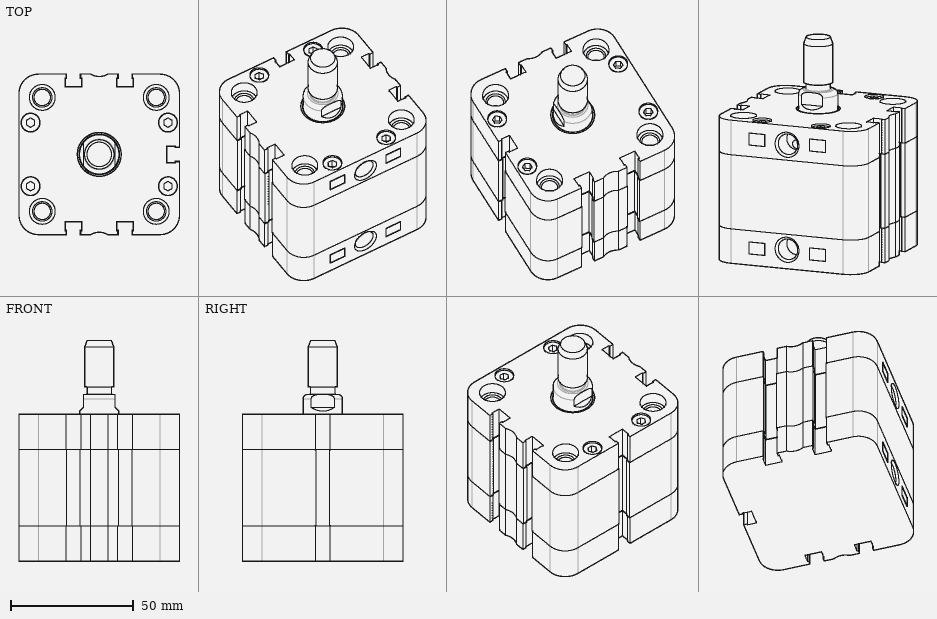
import cadquery as cq
import math

TOTAL_HEIGHT = 90.0
WIDTH = 65.5
CORNER_RADIUS = 8.0
CAP_HEIGHT = 14.5
BODY_HEIGHT = 60.0
BARREL_HEIGHT = BODY_HEIGHT - 2 * CAP_HEIGHT
FRONT_CAP_BASE = BODY_HEIGHT - CAP_HEIGHT
HALF_WIDTH = WIDTH / 2

SLOT_OFFSET = 10.5
SLOT_MOUTH = 5.5
SLOT_INNER_WIDTH = 6.5
SLOT_LIP = 1.9
SLOT_DEPTH = 5.1
CAP_SLOT_CLEARANCE = 0.3

SIDE_GROOVE_WIDTH = 6.9
SIDE_GROOVE_DEPTH = 1.0
SIDE_GROOVE_RADIUS = (SIDE_GROOVE_WIDTH**2 / 4 + SIDE_GROOVE_DEPTH**2) / (2 * SIDE_GROOVE_DEPTH)

MOUNT_OFFSET = 23.2
MOUNT_BORE_DIAMETER = 10.5
MOUNT_BORE_DEPTH = 5.0
MOUNT_THREAD_DIAMETER = 6.7
MOUNT_THREAD_LENGTH = 8.0
MOUNT_CHAMFER = 0.6

SCREW_X = 28.0
SCREW_Y = 13.0
SCREW_RECESS_DIAMETER = 7.7
SCREW_FLOOR_DIAMETER = 7.5
SCREW_RECESS_DEPTH = 0.7
HEX_ACROSS_FLATS = 3.3
HEX_DEPTH = 3.6

PORT_FROM_END = 8.0
PORT_DIAMETER = 8.55
PORT_MOUTH_DIAMETER = 10.5
PORT_DEPTH = 10.0
AIR_HOLE_DIAMETER = 3.5
AIR_HOLE_DROP = 2.0
AIR_HOLE_LENGTH = 4.5

LABEL_OFFSET = 13.4
LABEL_WIDTH = 7.0
LABEL_HEIGHT = 5.0
LABEL_FROM_END = 7.2
LABEL_DEPTH = 0.2

SEAT_DIAMETER = 18.0
SEAT_FLOOR_DIAMETER = 17.7
SEAT_DEPTH = 0.2
BORE_MOUTH_DIAMETER = 16.6
BORE_MOUTH_DEPTH = 0.3

ROD_DIAMETER = 16.0
ROD_ACROSS_FLATS = 13.0
ROD_SHOULDER_HEIGHT = 68.0
ROD_SHOULDER_FILLET = 1.8
FLAT_BASE_HEIGHT = 62.7
NECK_DIAMETER = 10.0
THREAD_DIAMETER = 12.0
THREAD_BASE_HEIGHT = 71.1
NECK_FILLET = 0.4
THREAD_TIP_CHAMFER = 2.7
CUT_MARGIN = 0.9


def t_slot(clearance, height):
    """T-slot prism in the -Y face at X = 0, widened by the clearance on every wall."""
    mouth = SLOT_MOUTH + 2 * clearance
    inner = SLOT_INNER_WIDTH + 2 * clearance
    depth = SLOT_DEPTH + clearance
    lip = SLOT_LIP - clearance
    opening = cq.Workplane("XY").box(mouth, 2 * depth, height, centered=(True, True, False))
    chamber = cq.Workplane("XY").box(inner, depth - lip, height, centered=(True, False, False))
    return opening.union(chamber.translate((0, lip, 0))).translate((0, -HALF_WIDTH, 0))


def profile_block(height, slot_clearance):
    """Rounded square block with the T-slots and side grooves along its full height."""
    block = cq.Workplane("XY").rect(WIDTH, WIDTH).extrude(height).edges("|Z").fillet(CORNER_RADIUS)
    slot = t_slot(slot_clearance, height)
    groove_center = HALF_WIDTH - SIDE_GROOVE_DEPTH + SIDE_GROOVE_RADIUS
    groove = cq.Workplane("XY").center(0, -groove_center).circle(SIDE_GROOVE_RADIUS).extrude(height)
    for side_angle in (0, 180):
        for x in (-SLOT_OFFSET, SLOT_OFFSET):
            block = block.cut(slot.translate((x, 0, 0)).rotate((0, 0, 0), (0, 0, 1), side_angle))
        block = block.cut(groove.rotate((0, 0, 0), (0, 0, 1), side_angle))
    return block.cut(slot.rotate((0, 0, 0), (0, 0, 1), 90))


def hole_from_left(diameter, start_x, y, z, length):
    """Cylinder along +X, starting at start_x."""
    start = cq.Vector(start_x, y, z)
    return cq.Workplane(cq.Solid.makeCylinder(diameter / 2, length, start, cq.Vector(1, 0, 0)))


def cut_port(cap, z):
    """Threaded air port with a chamfered mouth in the -X side."""
    chamfer = (PORT_MOUTH_DIAMETER - PORT_DIAMETER) / 2
    mouth = cq.Solid.makeCone(
        PORT_MOUTH_DIAMETER / 2, PORT_DIAMETER / 2, chamfer,
        cq.Vector(-HALF_WIDTH, 0, z), cq.Vector(1, 0, 0),
    )
    return cap.cut(hole_from_left(PORT_DIAMETER, -HALF_WIDTH, 0, z, PORT_DEPTH)).cut(cq.Workplane(mouth))


def cut_labels(cap, z):
    """Two shallow rectangular fields in the -X side."""
    for y in (-LABEL_OFFSET, LABEL_OFFSET):
        field = cq.Workplane("XY").box(2 * LABEL_DEPTH, LABEL_WIDTH, LABEL_HEIGHT)
        cap = cap.cut(field.translate((-HALF_WIDTH, y, z)))
    return cap


def level(height):
    """Horizontal workplane at the given height."""
    return cq.Workplane("XY").workplane(offset=height)


def upright_cone(bottom_diameter, top_diameter, height, base):
    """Cone frustum along +Z on the axis, standing at the base height."""
    cone = cq.Solid.makeCone(bottom_diameter / 2, top_diameter / 2, height, cq.Vector(0, 0, base))
    return cq.Workplane(cone)


def cut_mounting_threads(cap):
    """Counterbore, chamfered thread entry and blind thread hole at each corner."""
    spacing = 2 * MOUNT_OFFSET
    floor = BODY_HEIGHT - MOUNT_BORE_DEPTH
    bores = level(floor).rect(spacing, spacing, forConstruction=True).vertices()
    cap = cap.cut(bores.circle(MOUNT_BORE_DIAMETER / 2).extrude(MOUNT_BORE_DEPTH))
    thread = (
        level(floor).circle(MOUNT_THREAD_DIAMETER / 2).extrude(-MOUNT_THREAD_LENGTH)
        .union(upright_cone(
            MOUNT_THREAD_DIAMETER, MOUNT_THREAD_DIAMETER + 2 * MOUNT_CHAMFER,
            MOUNT_CHAMFER, floor - MOUNT_CHAMFER,
        ))
    )
    for x in (-MOUNT_OFFSET, MOUNT_OFFSET):
        for y in (-MOUNT_OFFSET, MOUNT_OFFSET):
            cap = cap.cut(thread.translate((x, y, 0)))
    return cap


def cut_screw_heads(cap):
    """Tapered round recess with a hexagon socket in its floor, at each of the four screws."""
    floor = BODY_HEIGHT - SCREW_RECESS_DEPTH
    hex_across_corners = HEX_ACROSS_FLATS / math.cos(math.pi / 6)
    recess = upright_cone(SCREW_FLOOR_DIAMETER, SCREW_RECESS_DIAMETER, SCREW_RECESS_DEPTH, floor)
    socket = level(floor).polygon(6, hex_across_corners).extrude(-HEX_DEPTH)
    head = recess.union(socket.rotate((0, 0, 0), (0, 0, 1), 90))
    for x in (-SCREW_X, SCREW_X):
        for y in (-SCREW_Y, SCREW_Y):
            cap = cap.cut(head.translate((x, y, 0)))
    return cap


def make_rear_cap():
    """Plain-ended cap below the barrel."""
    cap = profile_block(CAP_HEIGHT, CAP_SLOT_CLEARANCE)
    cap = cut_port(cap, PORT_FROM_END)
    return cut_labels(cap, LABEL_FROM_END)


def make_barrel():
    """Middle housing section between the two caps."""
    return profile_block(BARREL_HEIGHT, 0).translate((0, 0, CAP_HEIGHT))


def make_front_cap():
    """Cap above the barrel, with the rod bore, mounting threads and screws."""
    cap = profile_block(CAP_HEIGHT, CAP_SLOT_CLEARANCE).translate((0, 0, FRONT_CAP_BASE))
    port_height = BODY_HEIGHT - PORT_FROM_END
    cap = cut_port(cap, port_height)
    cap = cap.cut(hole_from_left(
        AIR_HOLE_DIAMETER, PORT_DEPTH - HALF_WIDTH, 0, port_height - AIR_HOLE_DROP, AIR_HOLE_LENGTH
    ))
    cap = cut_labels(cap, BODY_HEIGHT - LABEL_FROM_END)
    cap = cut_mounting_threads(cap)
    cap = cut_screw_heads(cap)
    cap = cap.cut(level(FRONT_CAP_BASE).circle(ROD_DIAMETER / 2).extrude(CAP_HEIGHT))
    seat_floor = BODY_HEIGHT - SEAT_DEPTH
    cap = cap.cut(upright_cone(SEAT_FLOOR_DIAMETER, SEAT_DIAMETER, SEAT_DEPTH, seat_floor))
    mouth_base = seat_floor - BORE_MOUTH_DEPTH
    return cap.cut(upright_cone(ROD_DIAMETER, BORE_MOUTH_DIAMETER, BORE_MOUTH_DEPTH, mouth_base))


def make_rod():
    """Rod that fills the front cap's bore, with two wrench flats, a neck and a threaded end."""
    rod_radius = ROD_DIAMETER / 2
    neck_radius = NECK_DIAMETER / 2
    thread_radius = THREAD_DIAMETER / 2
    shoulder = (
        level(FRONT_CAP_BASE).circle(rod_radius).extrude(ROD_SHOULDER_HEIGHT - FRONT_CAP_BASE)
        .faces(">Z").edges().fillet(ROD_SHOULDER_FILLET)
    )
    flat = ROD_ACROSS_FLATS / 2
    outside = rod_radius + CUT_MARGIN
    slope_end = FLAT_BASE_HEIGHT - (outside - flat)
    flat_cut = (
        cq.Workplane("XZ")
        .polyline([
            (flat, ROD_SHOULDER_HEIGHT),
            (flat, FLAT_BASE_HEIGHT),
            (outside, slope_end),
            (outside, ROD_SHOULDER_HEIGHT),
        ])
        .close().extrude(rod_radius, both=True)
    )
    shoulder = shoulder.cut(flat_cut).cut(flat_cut.mirror("YZ"))
    end = (
        cq.Workplane("XZ")
        .moveTo(0, ROD_SHOULDER_HEIGHT)
        .lineTo(neck_radius + NECK_FILLET, ROD_SHOULDER_HEIGHT)
        .radiusArc((neck_radius, ROD_SHOULDER_HEIGHT + NECK_FILLET), NECK_FILLET)
        .lineTo(neck_radius, THREAD_BASE_HEIGHT - NECK_FILLET)
        .radiusArc((neck_radius + NECK_FILLET, THREAD_BASE_HEIGHT), NECK_FILLET)
        .lineTo(thread_radius, THREAD_BASE_HEIGHT)
        .lineTo(thread_radius, TOTAL_HEIGHT - THREAD_TIP_CHAMFER)
        .lineTo(neck_radius, TOTAL_HEIGHT)
        .lineTo(0, TOTAL_HEIGHT)
        .close().revolve(360, (0, 0, 0), (0, 1, 0))
    )
    return shoulder.union(end)


rear_cap = make_rear_cap()
barrel = make_barrel()
front_cap = make_front_cap()
rod = make_rod()

result = cq.Compound.makeCompound([rear_cap.val(), barrel.val(), front_cap.val(), rod.val()])